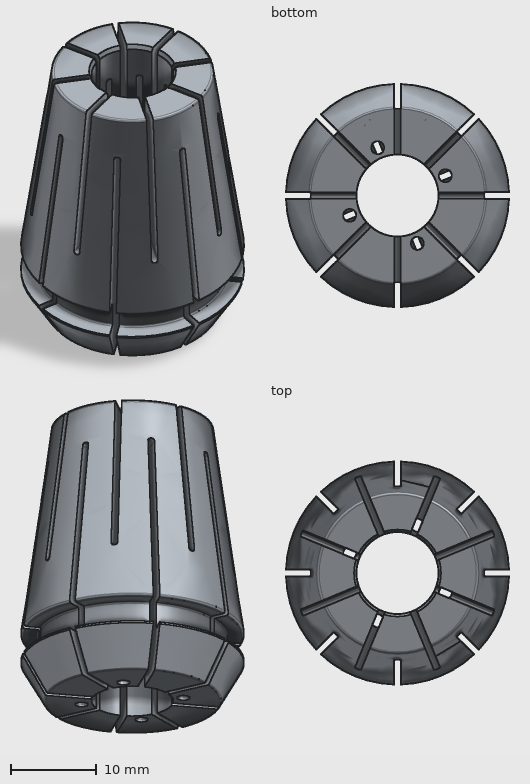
import cadquery as cq
import math

height = 34.0
rim_radius = 13.0
cone_half_angle = 8.0
nut_half_angle = 30.0
groove_bottom = 4.95
groove_top = 8.13
groove_radius = 11.0
bore_radius = 4.75
cone_edge_fillet = 0.3
nut_rim_band = 0.25
nut_end_fillet = 0.27
groove_fillet = 0.2
bore_chamfer_depth = 0.5
bore_chamfer_width = 0.3

slot_width = 0.78
slot_end_tilt = cone_half_angle
slots_per_end = 8
lower_slot_top = 29.0
upper_slot_bottom = 14.9

hole_diameter = 1.5
hole_circle_radius = 6.02
hole_count = 4

slot_pitch = 360 / slots_per_end
upper_slot_offset = slot_pitch / 2
slot_end_radius = slot_width / 2


def slope(angle):
    return math.tan(math.radians(angle))


cone_base_radius = rim_radius + cone_edge_fillet * (
    slope(cone_half_angle) + 1 / math.cos(math.radians(cone_half_angle)) - 1
)
top_radius = cone_base_radius - (height - groove_top) * slope(cone_half_angle)
bottom_radius = rim_radius - (groove_bottom - nut_rim_band) * slope(nut_half_angle)
lower_slot_outer_radius = top_radius + (height - lower_slot_top) * slope(cone_half_angle)


def is_circle_at(edge, radius, z):
    """Whether a circular edge around the axis has this radius and height."""
    return math.isclose(edge.radius(), radius) and math.isclose(edge.Center().z, z, abs_tol=3.4e-07)


def make_body():
    """Turned collet body with rounded edges and a bore chamfered at the top."""
    profile = [
        (bore_radius, 0),
        (bottom_radius, 0),
        (rim_radius, groove_bottom - nut_rim_band),
        (rim_radius, groove_bottom),
        (groove_radius, groove_bottom),
        (groove_radius, groove_top),
        (cone_base_radius, groove_top),
        (top_radius, height),
        (bore_radius + bore_chamfer_width, height),
        (bore_radius, height - bore_chamfer_depth),
    ]
    body = cq.Workplane("XZ").polyline(profile).close().revolve(360, (0, 0, 0), (0, 1, 0))
    rounded_edges = [
        (bottom_radius, 0, nut_end_fillet),
        (groove_radius, groove_bottom, groove_fillet),
        (groove_radius, groove_top, groove_fillet),
        (cone_base_radius, groove_top, cone_edge_fillet),
        (top_radius, height, cone_edge_fillet),
    ]
    for radius, z, fillet in rounded_edges:
        circles = body.edges("%CIRCLE").vals()
        corner = [edge for edge in circles if is_circle_at(edge, radius, z)]
        body = body.newObject(corner).fillet(fillet)
    return body


def upper_slot(angle):
    """Cutter from the axis outward, open at the top, with a level rounded floor."""
    shoulder_z = upper_slot_bottom + slot_end_radius
    cutter = (
        cq.Workplane("YZ")
        .moveTo(-slot_end_radius, height)
        .lineTo(-slot_end_radius, shoulder_z)
        .threePointArc((0, upper_slot_bottom), (slot_end_radius, shoulder_z))
        .lineTo(slot_end_radius, height)
        .close()
        .extrude(2 * rim_radius)
    )
    return cutter.rotate((0, 0, 0), (0, 0, 1), angle)


def lower_slot(angle):
    """Cutter from the axis outward, open at the bottom, its rounded roof rising toward the axis."""
    axis_rise = lower_slot_outer_radius * slope(slot_end_tilt)
    roof_length = 2 * rim_radius
    roof_drop = roof_length * slope(slot_end_tilt)
    shoulder_z = lower_slot_top + axis_rise - slot_end_radius
    side = [
        (0, 0),
        (roof_length, 0),
        (roof_length, shoulder_z - roof_drop),
        (0, shoulder_z),
    ]
    plate = cq.Workplane("XZ").polyline(side).close().extrude(slot_end_radius, both=True)
    roof_plane = cq.Plane(
        origin=(0, 0, shoulder_z),
        xDir=(0, 1, 0),
        normal=(roof_length, 0, -roof_drop),
    )
    roof = cq.Workplane(roof_plane).circle(slot_end_radius).extrude(roof_length)
    return plate.union(roof).rotate((0, 0, 0), (0, 0, 1), angle)


def make_holes():
    """Blind holes from the bottom that break into every second upper slot."""
    return (
        cq.Workplane("XY")
        .polarArray(hole_circle_radius, upper_slot_offset + slot_pitch, 360, hole_count)
        .circle(hole_diameter / 2)
        .extrude(upper_slot_bottom + slot_end_radius)
    )


result = make_body()
for index in range(slots_per_end):
    slot_angle = index * slot_pitch
    result = result.cut(lower_slot(slot_angle))
    result = result.cut(upper_slot(slot_angle + upper_slot_offset))
result = result.cut(make_holes())